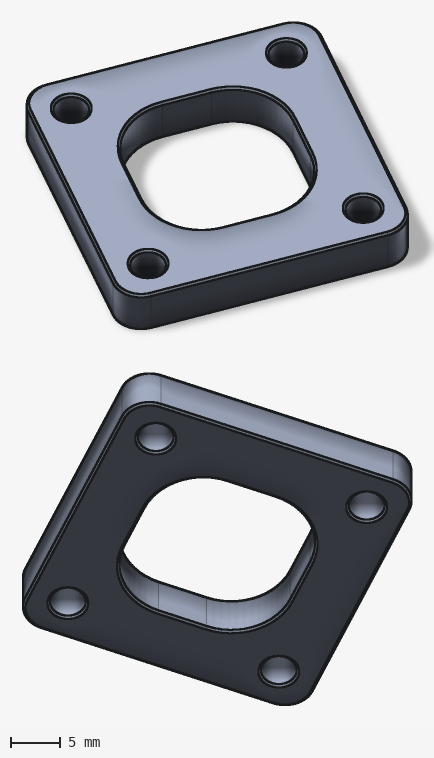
import cadquery as cq

side = 31.2
thickness = 5.1
corner_radius = 3.0

window_side = 18.0
window_corner_radius = 6.4

hole_diameter = 3.6
hole_spacing = 22.9

edge_chamfer = 0.25


def rounded_square_prism(width, radius):
    """Square prism with rounded vertical edges, standing on the XY plane."""
    prism = cq.Workplane("XY").rect(width, width).extrude(thickness)
    return prism.edges("|Z").fillet(radius)


plate = rounded_square_prism(side, corner_radius)
window = rounded_square_prism(window_side, window_corner_radius)
bolt_holes = (
    cq.Workplane("XY")
    .rect(hole_spacing, hole_spacing, forConstruction=True)
    .vertices()
    .circle(hole_diameter / 2)
    .extrude(thickness)
)

flange = plate.cut(window).cut(bolt_holes)
result = flange.faces("<Z or >Z").edges().chamfer(edge_chamfer)